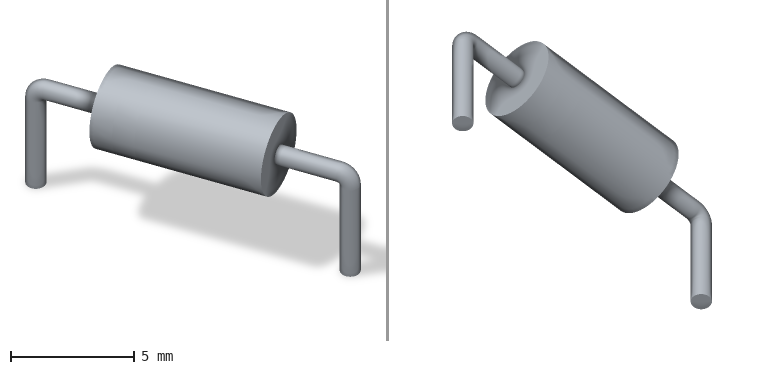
import cadquery as cq

overall_length = 14.83
body_diameter = 3.56
overall_height = 6.76
body_length = 7.62

end_length = 1.01
band_length = 1.0
main_length = body_length - end_length - band_length

lead_diameter = 0.86
bend_radius = 0.49

body_start = -body_length / 2
lead_foot_z = body_diameter / 2 - overall_height
lead_axis_x = (overall_length - lead_diameter) / 2


def body_section(start_x, length):
    """Solid cylinder of the body diameter, extending along +X from start_x."""
    return cq.Workplane("YZ", origin=(start_x, 0, 0)).circle(body_diameter / 2).extrude(length)


def lead(side):
    """Wire from the body end face outward and down; side is -1 for -X, +1 for +X."""
    bend_start_x = lead_axis_x - bend_radius
    bend_offset = bend_radius * (1 - 0.5 ** 0.5)
    path = (
        cq.Workplane("XZ")
        .moveTo(side * body_length / 2, 0)
        .lineTo(side * bend_start_x, 0)
        .threePointArc(
            (side * (lead_axis_x - bend_offset), -bend_offset),
            (side * lead_axis_x, -bend_radius),
        )
        .lineTo(side * lead_axis_x, lead_foot_z)
    )
    profile = cq.Workplane("YZ", origin=(side * body_length / 2, 0, 0)).circle(lead_diameter / 2)
    return profile.sweep(path)


end_section = body_section(body_start, end_length)
marking_band = body_section(body_start + end_length, band_length)
main_section = body_section(body_start + end_length + band_length, main_length)
leads = [lead(side) for side in (-1, 1)]

result = cq.Compound.makeCompound([
    end_section.val(),
    marking_band.val(),
    main_section.val(),
    *[wire.val() for wire in leads],
])